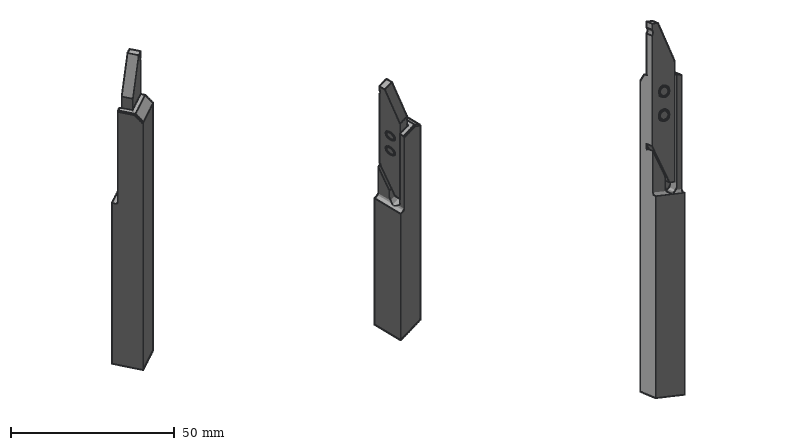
import cadquery as cq

side = 10.0
overall_height = 116.6
half = side / 2
shank_top = 99.8
shoulder_z = 63.2
flat_x = -half + 1.9
shoulder_fillet = 0.8
corner_chamfer = 2.6
edge_chamfer = 0.3

blade_x = -half + 2.5
blade_thickness = 3.6
blade_back_y = -2.9
blade_tip_y = 2.9
blade_bevel_z = 104.0
blade_bottom_z = 66.3
blade_heel_y = -1.0
blade_heel_z = 78.4
floor_x = blade_x + blade_thickness

groove_top_z = 114.7
groove_bottom_z = 112.9
groove_depth = 0.3

side_gap = 0.3
heel_gap = 1.4
relief_radius = 2.0
relief_z = shoulder_z + relief_radius

pin_y = 0.8
pin_heights = (87.6, 95.0)
pin_radius = 1.4
pin_hole_radius = 1.9


def extrude_in_x(profile, start_x, end_x):
    """Extrude a YZ profile between two X positions."""
    return profile.extrude(end_x - start_x).translate((start_x, 0, 0))


def make_shank():
    block = cq.Workplane("XY").box(side, side, shank_top, centered=(True, True, False))
    block = block.edges("|Y and >X and >Z").chamfer(corner_chamfer)
    flat = (
        cq.Workplane("XY")
        .box(flat_x + half, side, shank_top - shoulder_z, centered=False)
        .edges("|Y and >X and <Z").fillet(shoulder_fillet)
        .translate((-half, -half, shoulder_z))
    )
    front_top_edges = block.faces("<Y").edges(">Z or ((not |X) and (not |Z))")
    return front_top_edges.chamfer(edge_chamfer).cut(flat)


def make_pocket():
    """Open-ended seat with parallel walls and a round relief at its foot."""
    wall_y = blade_back_y - side_gap
    relief_y = wall_y + relief_radius
    channel_y = relief_y + relief_radius
    slope = (blade_heel_z - blade_bottom_z) / (half - blade_heel_y)
    heel_z = blade_heel_z - heel_gap
    profile = (
        cq.Workplane("YZ")
        .moveTo(wall_y, shank_top)
        .lineTo(wall_y, relief_z)
        .threePointArc((relief_y, relief_z - relief_radius), (channel_y, relief_z))
        .lineTo(channel_y, heel_z - slope * (half - channel_y))
        .lineTo(half, heel_z)
        .lineTo(half, shank_top)
        .close()
    )
    return extrude_in_x(profile, -half, floor_x)


def make_blade():
    groove_mid_z = (groove_top_z + groove_bottom_z) / 2
    profile = (
        cq.Workplane("YZ")
        .moveTo(half, overall_height)
        .lineTo(blade_tip_y, overall_height)
        .lineTo(blade_back_y, blade_bevel_z)
        .lineTo(blade_back_y, blade_bottom_z)
        .lineTo(blade_heel_y, blade_bottom_z)
        .lineTo(half, blade_heel_z)
        .lineTo(half, groove_bottom_z)
        .threePointArc((half - groove_depth, groove_mid_z), (half, groove_top_z))
        .close()
    )
    return extrude_in_x(profile, blade_x, floor_x)


def make_pin_gaps():
    """Ring-shaped clearance around each pin, through the blade thickness."""
    centers = [(pin_y, z) for z in pin_heights]
    holes = cq.Workplane("YZ").pushPoints(centers).circle(pin_hole_radius)
    pins = cq.Workplane("YZ").pushPoints(centers).circle(pin_radius)
    return extrude_in_x(holes, blade_x, floor_x).cut(extrude_in_x(pins, blade_x, floor_x))


blade = make_blade().cut(make_pin_gaps())
result = make_shank().cut(make_pocket()).union(blade)